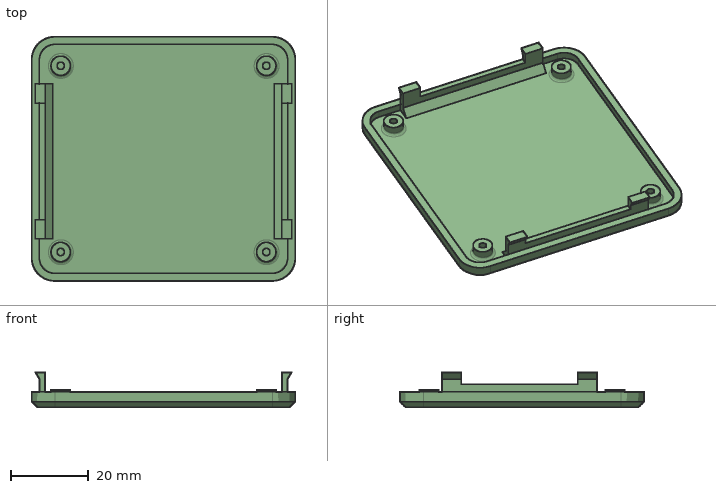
import cadquery as cq

LENGTH = 68.0
WIDTH = 63.0
TOTAL_HEIGHT = 9.0
RIM_HEIGHT = 4.0
FLOOR_THICKNESS = 2.0
WALL = 2.0
CORNER_RADIUS = 6.0
BOTTOM_CHAMFER = 1.5

BOSS_DIAMETER = 5.0
BOSS_HOLE_DIAMETER = 1.88
BOSS_TOP = 4.5
BOSS_FILLET = 0.7
BOSS_X = 26.5
BOSS_Y = 24.0

RAIL_THICKNESS = 1.5
RAIL_LENGTH = 40.0
RAIL_CENTER_Y = -0.65
RAIL_TOP = 6.0
RAIL_BASE_CHAMFER = 2.0
HOOK_WIDTH = 5.0
HOOK_OVERHANG = 1.0
HOOK_LEDGE = 7.3

RAIL_OUTER_X = LENGTH / 2 - WALL
RAIL_INNER_X = RAIL_OUTER_X - RAIL_THICKNESS


def make_tray():
    """Rounded shallow tray with a chamfered underside."""
    body = (
        cq.Workplane("XY")
        .box(LENGTH, WIDTH, RIM_HEIGHT, centered=(True, True, False))
        .edges("|Z")
        .fillet(CORNER_RADIUS)
        .faces("<Z")
        .chamfer(BOTTOM_CHAMFER)
    )
    cavity = (
        cq.Workplane("XY")
        .workplane(offset=FLOOR_THICKNESS)
        .rect(LENGTH - 2 * WALL, WIDTH - 2 * WALL)
        .extrude(RIM_HEIGHT)
        .edges("|Z")
        .fillet(CORNER_RADIUS - WALL)
    )
    return body.cut(cavity)


def extrude_along_y(points, center_y, length):
    """Extrude an XZ outline along Y, centred on center_y."""
    return (
        cq.Workplane("XZ", origin=(0, center_y, 0))
        .polyline(points)
        .close()
        .extrude(length / 2, both=True)
    )


def make_snap_rail():
    """Snap rail of the +X side: a low wall with a hook at each end."""
    rail_outline = [
        (RAIL_OUTER_X, FLOOR_THICKNESS),
        (RAIL_OUTER_X, RAIL_TOP),
        (RAIL_INNER_X, RAIL_TOP),
        (RAIL_INNER_X, FLOOR_THICKNESS + RAIL_BASE_CHAMFER),
        (RAIL_INNER_X - RAIL_BASE_CHAMFER, FLOOR_THICKNESS),
    ]
    hook_outline = [
        (RAIL_INNER_X, FLOOR_THICKNESS),
        (RAIL_OUTER_X, FLOOR_THICKNESS),
        (RAIL_OUTER_X, HOOK_LEDGE),
        (RAIL_OUTER_X + HOOK_OVERHANG, TOTAL_HEIGHT),
        (RAIL_INNER_X, TOTAL_HEIGHT),
    ]
    rail = extrude_along_y(rail_outline, RAIL_CENTER_Y, RAIL_LENGTH)
    hook_offset = (RAIL_LENGTH - HOOK_WIDTH) / 2
    for side in (-1, 1):
        hook_y = RAIL_CENTER_Y + side * hook_offset
        rail = rail.union(extrude_along_y(hook_outline, hook_y, HOOK_WIDTH))
    return rail


def make_boss():
    """Screw boss on the Z axis, drilled down to the floor, with a concave base fillet."""
    radius = BOSS_DIAMETER / 2
    hole_radius = BOSS_HOLE_DIAMETER / 2
    fillet_top = FLOOR_THICKNESS + BOSS_FILLET
    fillet_edge = radius + BOSS_FILLET
    return (
        cq.Workplane("XZ")
        .moveTo(hole_radius, FLOOR_THICKNESS)
        .lineTo(fillet_edge, FLOOR_THICKNESS)
        .radiusArc((radius, fillet_top), BOSS_FILLET)
        .lineTo(radius, BOSS_TOP)
        .lineTo(hole_radius, BOSS_TOP)
        .close()
        .revolve(360, (0, 0, 0), (0, 1, 0))
    )


result = make_tray()

snap_rail = make_snap_rail()
result = result.union(snap_rail).union(snap_rail.mirror("YZ"))

boss = make_boss()
for x in (-BOSS_X, BOSS_X):
    for y in (-BOSS_Y, BOSS_Y):
        result = result.union(boss.translate((x, y, 0)))